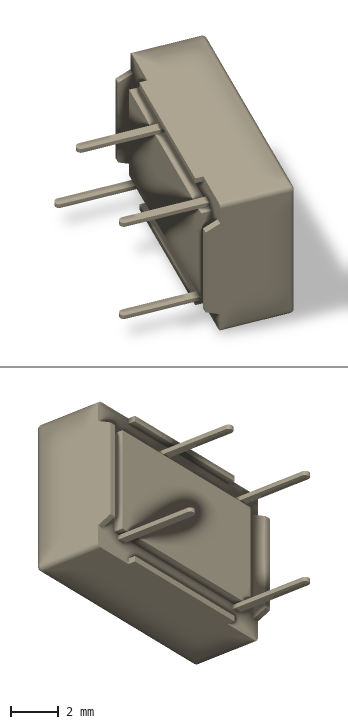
import cadquery as cq

HOUSING_WIDTH = 10.6
HOUSING_DEPTH = 3.35
HOUSING_HEIGHT = 7.0
EDGE_RADIUS = 0.2

SIDE_TAB_THICKNESS = 0.3
SIDE_TAB_REACH = 0.66
SIDE_TAB_ROOT_LENGTH = 5.0
SIDE_TAB_TIP_LENGTH = 4.4

LONG_TAB_LENGTH = 6.6
LONG_TAB_THICKNESS = 0.26
LONG_TAB_REACH = 0.36

PLATE_WIDTH = 8.5
PLATE_HEIGHT = 4.72
PLATE_THICKNESS = 0.46

PIN_WIDTH = 0.4
PIN_THICKNESS = 0.2
PIN_LENGTH = 3.95
PIN_PITCH = 2.54
PIN_GRID_PLACES = [(-1.5, -1), (1.5, -1), (-0.5, 1), (1.5, 1)]


def make_block(width, depth, height):
    """Box centred on X and Z, reaching forward (-Y) from the front face."""
    return cq.Workplane("XY").box(width, depth, height).translate((0, -depth / 2, 0))


def make_side_tab():
    """Trapezoid in the YZ plane, extruded to the tab thickness and centred on X."""
    root = SIDE_TAB_ROOT_LENGTH / 2
    tip = SIDE_TAB_TIP_LENGTH / 2
    return (
        cq.Workplane("YZ")
        .polyline([(0, -root), (-SIDE_TAB_REACH, -tip), (-SIDE_TAB_REACH, tip), (0, root)])
        .close()
        .extrude(SIDE_TAB_THICKNESS / 2, both=True)
    )


def make_housing():
    """Block with all edges rounded except at the front face, plus four edge tabs."""
    body = make_block(HOUSING_WIDTH, HOUSING_DEPTH, HOUSING_HEIGHT)
    body = body.translate((0, HOUSING_DEPTH, 0))
    body = body.edges("|Y or >Y").fillet(EDGE_RADIUS)

    side_tab = make_side_tab()
    long_tab = make_block(LONG_TAB_LENGTH, LONG_TAB_REACH, LONG_TAB_THICKNESS)
    side_offset = (HOUSING_WIDTH - SIDE_TAB_THICKNESS) / 2
    long_offset = (HOUSING_HEIGHT - LONG_TAB_THICKNESS) / 2
    for side in (-1, 1):
        body = body.union(side_tab.translate((side * side_offset, 0, 0)))
        body = body.union(long_tab.translate((0, 0, side * long_offset)))
    return body


def make_base_plate():
    return make_block(PLATE_WIDTH, PLATE_THICKNESS, PLATE_HEIGHT)


def make_pin(x, z):
    """Flat strip from the front face, ending in a full half-round tip."""
    half_width = PIN_WIDTH / 2
    shoulder = -(PIN_LENGTH - half_width)
    return (
        cq.Workplane("XY")
        .moveTo(-half_width, 0)
        .lineTo(-half_width, shoulder)
        .threePointArc((0, -PIN_LENGTH), (half_width, shoulder))
        .lineTo(half_width, 0)
        .close()
        .extrude(PIN_THICKNESS / 2, both=True)
        .translate((x, 0, z))
    )


housing = make_housing()
base_plate = make_base_plate()
pins = []
for column, row in PIN_GRID_PLACES:
    pins.append(make_pin(column * PIN_PITCH, row * PIN_PITCH))

result = cq.Compound.makeCompound([housing.val(), base_plate.val(), *[pin.val() for pin in pins]])